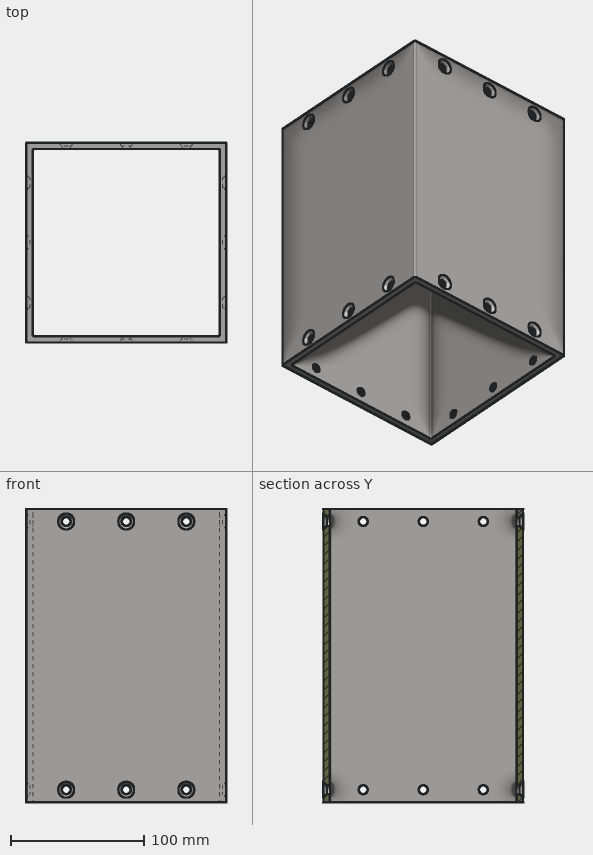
import cadquery as cq

SIDE = 150.0
HEIGHT = 220.0
WALL = 5.0
CORNER_RADIUS = 1.0

OUTER_ROUNDED_EDGES = "|Z and (not (>X and <Y))"
BORE_ROUNDED_EDGES = "|Z"

HOLE_DIAMETER = 6.5
COUNTERSINK_DIAMETER = 12.0
COUNTERSINK_ANGLE = 90.0
HOLE_SPACING = 45.0
HOLES_PER_ROW = 3
HOLE_END_DISTANCE = 9.5

BORE_SIDE = SIDE - 2 * WALL
DRILL_DEPTH = 2 * WALL


def square_bar(side, rounded_edges):
    """Solid square bar along Z with the selected edges rounded."""
    bar = cq.Workplane("XY").rect(side, side).extrude(HEIGHT)
    return bar.edges(rounded_edges).fillet(CORNER_RADIUS)


def hole_centres():
    """Hole positions on a wall: distance from the wall's centreline and height."""
    first_offset = -HOLE_SPACING * (HOLES_PER_ROW - 1) / 2
    offsets = [first_offset + i * HOLE_SPACING for i in range(HOLES_PER_ROW)]
    heights = (HOLE_END_DISTANCE, HEIGHT - HOLE_END_DISTANCE)
    return [(offset, height) for height in heights for offset in offsets]


def drill_wall(body, outward):
    """Drill the countersunk holes through one wall, entering from its outer face."""
    wall_face = cq.Plane(
        origin=outward * (SIDE / 2),
        xDir=cq.Vector(0, 0, 1).cross(outward),
        normal=outward,
    )
    drilling = body.copyWorkplane(cq.Workplane(wall_face)).pushPoints(hole_centres())
    return drilling.cskHole(HOLE_DIAMETER, COUNTERSINK_DIAMETER, COUNTERSINK_ANGLE, DRILL_DEPTH)


tube = square_bar(SIDE, OUTER_ROUNDED_EDGES).cut(square_bar(BORE_SIDE, BORE_ROUNDED_EDGES))

for direction in ((1, 0, 0), (-1, 0, 0), (0, 1, 0), (0, -1, 0)):
    tube = drill_wall(tube, cq.Vector(*direction))

result = tube